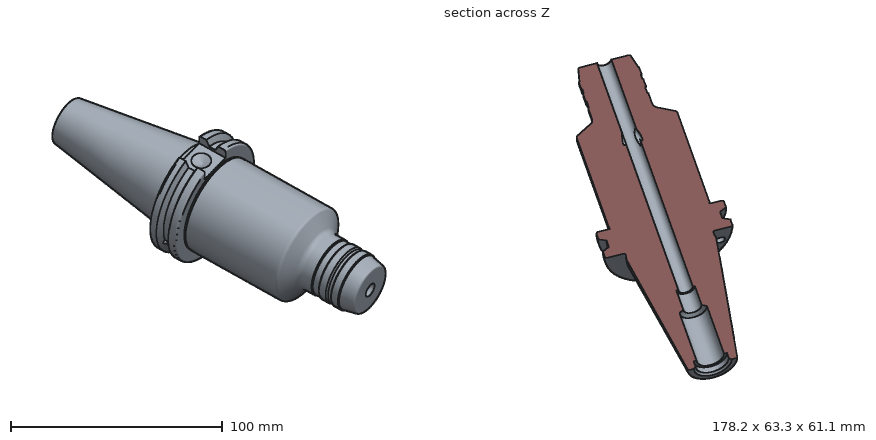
import cadquery as cq
import math

total_length = 178.2
gauge_x = 68.1
flange_front_x = 71.7
flange_rear_x = 87.2
neck_end_x = 88.0

taper_large_d = 44.4
taper_ratio = 7 / 24
taper_end_fillet = 0.9
relief_d = 43.7
relief_start_x = 69.7
relief_fillet = 0.5

flange_d = 63.3
flange_rim_fillet = 1.0
v_groove_d = 56.3
v_groove_x = 79.3
v_groove_floor_width = 3.5
v_groove_mouth_width = 7.0

neck_d = 49.5
body_d = 49.9
shoulder_x = 141.4
shoulder_angle = 60.0
shoulder_fillet = 1.8
nose_root_fillet = 3.0
nose_d = 30.0
nose_groove_d = 29.0
nose_grooves = [
    (154.7, 0.5, 159.2),
    (163.1, 1.0, 166.3),
]
lead_in_x = 170.2
lead_in_angle = 12.0
nose_end_fillet = 1.0

notch_width = 16.4
upper_notch_height = 25.3
lower_notch_height = 22.5
lower_notch_straight_x = 87.7
dimple_d = 9.5
dimple_x = 79.0
drill_point_angle = 118.0

mouth_d = 18.5
mouth_depth = 1.0
counterbore_d = 16.2
counterbore_depth = 4.1
thread_bore_d = 13.4
thread_bore_depth = 32.0
pilot_d = 9.0
pilot_depth = 44.5
through_d = 7.0

coolant_pitch_d = 54.2
coolant_d = 4.3
coolant_depth = 8.0
coolant_turn = 20.0
channel_d = 3.2
channel_entry_r = 26.0
channel_angle = 20.0


def revolve_about_axis(outline):
    return outline.close().revolve(360, (0, 0, 0), (1, 0, 0))


def make_nose_groove(start_x, ramp_length, end_x):
    """Ring cut with a ramp at the start and a 45 degree ramp at the end."""
    nose_r = nose_d / 2
    floor_r = nose_groove_d / 2
    return revolve_about_axis(
        cq.Workplane("XY")
        .moveTo(start_x, nose_r)
        .lineTo(start_x + ramp_length, floor_r)
        .lineTo(end_x - (nose_r - floor_r), floor_r)
        .lineTo(end_x, nose_r)
    )


def make_taper():
    small_r = (taper_large_d - gauge_x * taper_ratio) / 2
    relief_r = relief_d / 2
    taper = revolve_about_axis(
        cq.Workplane("XY")
        .lineTo(0, small_r)
        .lineTo(gauge_x, taper_large_d / 2)
        .lineTo(relief_start_x, relief_r)
        .lineTo(flange_front_x - relief_fillet, relief_r)
        .radiusArc((flange_front_x, relief_r + relief_fillet), -relief_fillet)
        .lineTo(flange_front_x, 0)
    )
    return taper.faces("<X").edges().fillet(taper_end_fillet)


def make_flange():
    flange = (
        cq.Workplane("YZ").workplane(offset=flange_front_x)
        .circle(flange_d / 2).extrude(flange_rear_x - flange_front_x)
        .faces("<X or >X").edges().fillet(flange_rim_fillet)
    )
    rim_r = flange_d / 2
    groove = revolve_about_axis(
        cq.Workplane("XY")
        .moveTo(v_groove_x - v_groove_mouth_width / 2, rim_r)
        .lineTo(v_groove_x - v_groove_floor_width / 2, v_groove_d / 2)
        .lineTo(v_groove_x + v_groove_floor_width / 2, v_groove_d / 2)
        .lineTo(v_groove_x + v_groove_mouth_width / 2, rim_r)
    )
    return flange.cut(groove)


def edge_circle_at(x):
    """Selector for the edge circle that lies in the plane at this X."""
    margin = 0.2
    return cq.selectors.BoxSelector(
        (x - margin, -body_d, -body_d), (x + margin, body_d, body_d), boundingbox=True
    )


def make_body():
    body_r = body_d / 2
    nose_r = nose_d / 2
    shoulder_length = (body_r - nose_r) / math.tan(math.radians(shoulder_angle))
    shoulder_end_x = shoulder_x + shoulder_length
    step = (nose_d - nose_groove_d) / 2
    taper_start_x = lead_in_x + step
    lead_in_drop = (total_length - taper_start_x) * math.tan(math.radians(lead_in_angle))
    body = revolve_about_axis(
        cq.Workplane("XY")
        .moveTo(flange_rear_x, 0)
        .lineTo(flange_rear_x, neck_d / 2)
        .lineTo(neck_end_x, neck_d / 2)
        .lineTo(neck_end_x, body_r)
        .lineTo(shoulder_x, body_r)
        .lineTo(shoulder_end_x, nose_r)
        .lineTo(lead_in_x, nose_r)
        .lineTo(taper_start_x, nose_r - step)
        .lineTo(total_length, nose_r - step - lead_in_drop)
        .lineTo(total_length, 0)
    )
    body = body.edges(edge_circle_at(shoulder_x)).fillet(shoulder_fillet)
    body = body.edges(edge_circle_at(shoulder_end_x)).fillet(nose_root_fillet)
    body = body.faces(">X").edges().fillet(nose_end_fillet)
    for start_x, ramp_length, end_x in nose_grooves:
        body = body.cut(make_nose_groove(start_x, ramp_length, end_x))
    return body


def make_drive_notches():
    rim_r = flange_d / 2
    flange_width = flange_rear_x - flange_front_x
    upper = cq.Workplane("XY").box(
        flange_width, notch_width, rim_r, centered=(False, True, False)
    ).translate((flange_front_x, 0, upper_notch_height))
    lower_length = lower_notch_straight_x - flange_front_x
    lower = cq.Workplane("XY").box(
        lower_length, notch_width, rim_r, centered=(False, True, False)
    )
    lower = lower.union(
        cq.Workplane("XY").center(lower_length, 0).circle(notch_width / 2).extrude(rim_r)
    ).translate((flange_front_x, 0, -lower_notch_height - rim_r))
    return upper.union(lower)


def drill_point_length(large_d, small_d=0.0):
    return (large_d - small_d) / 2 / math.tan(math.radians(drill_point_angle / 2))


def make_drill_point(diameter, base, direction):
    return cq.Workplane(
        cq.Solid.makeCone(
            diameter / 2, 0, drill_point_length(diameter),
            pnt=cq.Vector(*base), dir=cq.Vector(*direction),
        )
    )


def make_dimple():
    return make_drill_point(dimple_d, (dimple_x, 0, upper_notch_height), (0, 0, -1))


def make_bore():
    point_length = drill_point_length(thread_bore_d, pilot_d)
    return revolve_about_axis(
        cq.Workplane("XY")
        .lineTo(0, mouth_d / 2)
        .lineTo(mouth_depth, counterbore_d / 2)
        .lineTo(counterbore_depth, counterbore_d / 2)
        .lineTo(counterbore_depth, thread_bore_d / 2)
        .lineTo(thread_bore_depth, thread_bore_d / 2)
        .lineTo(thread_bore_depth + point_length, pilot_d / 2)
        .lineTo(pilot_depth, pilot_d / 2)
        .lineTo(pilot_depth, through_d / 2)
        .lineTo(total_length, through_d / 2)
        .lineTo(total_length, 0)
    )


def make_coolant_hole():
    """One axial pocket with a channel that slants inward to the bore, on the +Y side."""
    pocket = cq.Solid.makeCylinder(
        coolant_d / 2, coolant_depth,
        pnt=cq.Vector(flange_front_x, coolant_pitch_d / 2, 0), dir=cq.Vector(1, 0, 0),
    )
    point = make_drill_point(
        coolant_d, (flange_front_x + coolant_depth, coolant_pitch_d / 2, 0), (1, 0, 0)
    )
    slant = math.radians(channel_angle)
    direction = cq.Vector(math.cos(slant), -math.sin(slant), 0)
    entry = cq.Vector(flange_front_x, channel_entry_r, 0)
    channel = cq.Solid.makeCylinder(
        channel_d / 2, channel_entry_r / math.sin(slant), pnt=entry, dir=direction
    )
    return cq.Workplane(pocket).union(point).union(cq.Workplane(channel))


result = make_taper().union(make_flange()).union(make_body())
result = result.cut(make_drive_notches()).cut(make_dimple()).cut(make_bore())
for turn in (coolant_turn, coolant_turn + 180):
    result = result.cut(make_coolant_hole().rotate((0, 0, 0), (1, 0, 0), turn))